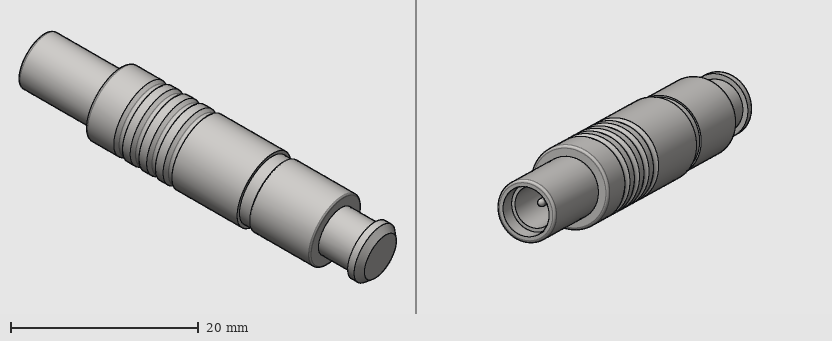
import cadquery as cq
import math

total_length = 46.0
nose_end = 10.0
body_end = 30.35
undercut_end = 31.9
sleeve_end = 39.97
flange_start = 44.35
flange_chamfer = 0.8

nose_radius = 3.5
body_radius = 4.7
undercut_radius = 4.3
sleeve_radius = 4.45
neck_radius = 3.0
flange_radius = 3.6

front_fillet = 0.3
sleeve_fillet = 0.2

groove_count = 4
groove_first = 13.8
groove_pitch = 2.2
groove_cone_length = 0.5
groove_cone_angle = math.radians(28)
groove_arc_radius = 0.45

mouth_radius = 2.75
mouth_depth = 2.0
socket_radius = 2.35
socket_depth = nose_end

pin_count = 3
pin_radius = 0.435
pin_circle_radius = 1.05
pin_length = 5.05

x_origin = -total_length / 2


def disc(start, end, radius):
    """Solid cylinder on the X axis between two stations."""
    return cq.Workplane("YZ", origin=(x_origin + start, 0, 0)).circle(radius).extrude(end - start)


def revolve_about_x(profile):
    """Turn a closed XY profile into a ring around the X axis."""
    return profile.close().revolve(360, (0, 0, 0), (1, 0, 0))


def grip_groove(start):
    """Ring cutter: cone tangent to an arc that rises to the body surface."""
    cone_drop = groove_cone_length * math.tan(groove_cone_angle)
    left = x_origin + start
    tangent_x = left + groove_cone_length
    tangent_y = body_radius - cone_drop
    center_x = tangent_x + groove_arc_radius * math.sin(groove_cone_angle)
    center_y = tangent_y + groove_arc_radius * math.cos(groove_cone_angle)
    half_chord = math.sqrt(groove_arc_radius**2 - (center_y - body_radius) ** 2)
    profile = (
        cq.Workplane("XY")
        .moveTo(left, body_radius)
        .lineTo(tangent_x, tangent_y)
        .threePointArc(
            (center_x, center_y - groove_arc_radius),
            (center_x + half_chord, body_radius),
        )
    )
    return revolve_about_x(profile)


def contact_pin(angle):
    """Round pin with a domed tip pointing toward the nose opening."""
    y = pin_circle_radius * math.cos(angle)
    z = pin_circle_radius * math.sin(angle)
    tip_start = socket_depth - pin_length + pin_radius
    shank = disc(tip_start, socket_depth, pin_radius)
    tip = cq.Workplane("YZ", origin=(x_origin + tip_start, 0, 0)).sphere(pin_radius)
    return shank.union(tip).translate((0, y, z))


nose = disc(0, nose_end, nose_radius).faces("<X").edges().fillet(front_fillet)
body = disc(nose_end, body_end, body_radius).faces("<X").edges().fillet(front_fillet)
undercut = disc(body_end, undercut_end, undercut_radius)
sleeve = disc(undercut_end, sleeve_end, sleeve_radius).faces(">X").edges().fillet(sleeve_fillet)
neck = disc(sleeve_end, flange_start, neck_radius)
flange = disc(flange_start, total_length, flange_radius).faces(">X").edges().chamfer(flange_chamfer)

for index in range(groove_count):
    body = body.cut(grip_groove(groove_first + index * groove_pitch))

result = nose.union(body).union(undercut).union(sleeve).union(neck).union(flange)

result = result.cut(disc(0, mouth_depth, mouth_radius))
result = result.cut(disc(0, socket_depth, socket_radius))

for index in range(pin_count):
    result = result.union(contact_pin(math.pi / 2 + index * 2 * math.pi / pin_count))